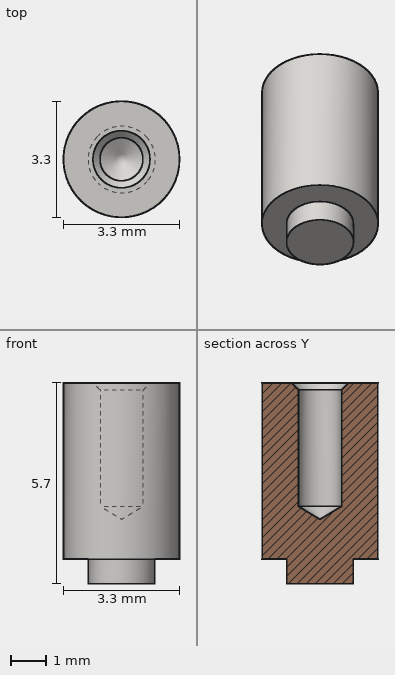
import cadquery as cq
import math

body_diameter = 3.3
body_height = 5.0
pin_diameter = 1.9
pin_length = 0.7

hole_diameter = 1.22
hole_depth = 3.5
drill_point_angle = 118.0
countersink_depth = 0.2


def make_body():
    """Main cylinder standing on the shoulder plane."""
    return cq.Workplane("XY").circle(body_diameter / 2).extrude(body_height)


def make_pin():
    """Reduced pin below the shoulder."""
    return cq.Workplane("XY").circle(pin_diameter / 2).extrude(-pin_length)


def make_hole_cutter():
    """Revolved half profile of the countersunk hole with its conical drill point."""
    hole_radius = hole_diameter / 2
    mouth_radius = hole_radius + countersink_depth
    hole_floor = body_height - hole_depth
    drill_point_height = hole_radius / math.tan(math.radians(drill_point_angle / 2))
    return (
        cq.Workplane("XZ")
        .moveTo(0, body_height)
        .lineTo(mouth_radius, body_height)
        .lineTo(hole_radius, body_height - countersink_depth)
        .lineTo(hole_radius, hole_floor)
        .lineTo(0, hole_floor - drill_point_height)
        .close()
        .revolve(360, (0, 0, 0), (0, 1, 0))
    )


result = make_body().union(make_pin()).cut(make_hole_cutter())